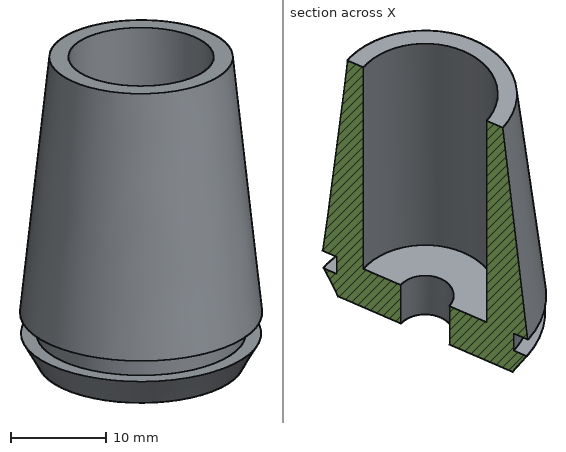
import cadquery as cq

total_height = 35.0
flange_height = 3.25
sleeve_bottom = 5.67

sleeve_bottom_diameter = 25.5
sleeve_top_diameter = 19.32
groove_diameter = 22.05
flange_top_diameter = 25.3
flange_bottom_diameter = 21.7
bore_diameter = 15.3
through_hole_diameter = 6.02

bore_floor = sleeve_bottom


def revolved_body():
    """Flared flange, narrow groove and tapered sleeve as one turned solid."""
    return (
        cq.Workplane("YZ")
        .lineTo(-flange_bottom_diameter / 2, 0)
        .lineTo(-flange_top_diameter / 2, flange_height)
        .lineTo(-groove_diameter / 2, flange_height)
        .lineTo(-groove_diameter / 2, sleeve_bottom)
        .lineTo(-sleeve_bottom_diameter / 2, sleeve_bottom)
        .lineTo(-sleeve_top_diameter / 2, total_height)
        .lineTo(0, total_height)
        .close()
        .revolve(360, (0, 0, 0), (0, 1, 0))
    )


def vertical_cylinder(diameter, bottom, top):
    return cq.Workplane("XY").workplane(offset=bottom).circle(diameter / 2).extrude(top - bottom)


bore = vertical_cylinder(bore_diameter, bore_floor, total_height)
through_hole = vertical_cylinder(through_hole_diameter, 0, total_height)

result = revolved_body().cut(bore).cut(through_hole)